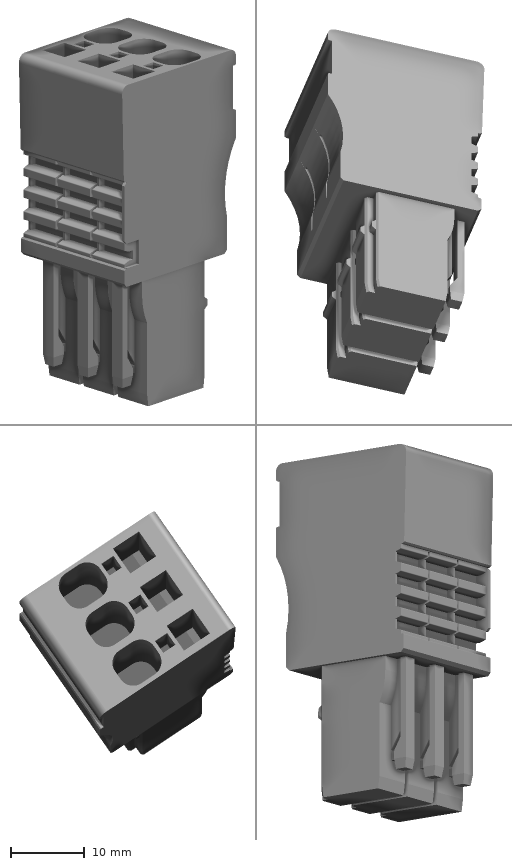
import cadquery as cq
import math

total_width = 19.5
total_depth = 22.35
total_height = 47.3
module_count = 3
pitch = total_width / module_count

body_bottom = 18.3
top_radius = 1.15
bottom_chamfer = 0.45
front_step_z = 33.4
front_step_chamfer = 0.25
front_step_y = 0.35
grip_lip_y = 0.43
grip_lip_z = 20.85
grip_lip_chamfer = 0.15
grip_land_y = 0.9
label_top = 44.95
label_bottom = 38.55
label_depth = 0.6
label_chamfer = 0.2
waist_top = 34.45
waist_z = 26.9
waist_y = 20.15
waist_bottom = 23.6
waist_radius = ((waist_top - waist_z) ** 2 + (total_depth - waist_y) ** 2) / (2 * (total_depth - waist_y))
waist_centre_y = waist_y + waist_radius


def waist_depth(z):
    """Y of the concave back surface at height z."""
    return waist_centre_y - math.sqrt(waist_radius ** 2 - (z - waist_z) ** 2)


base_back_y = waist_depth(waist_bottom)

groove_count = 4
groove_pitch = 3.1
groove_top_centre = 31.75
groove_floor_y = 1.85
groove_floor_height = 1.32
groove_mouth_height = 1.95
groove_radius = 0.15
groove_step_x = 0.4
groove_ramp_length = 0.25
groove_step_depth = 0.75

recess_width = 0.45
recess_bottom = 20.95
recess_top = 32.85
recess_mouth_top = 33.3
plate_front_y = grip_lip_y
plate_chamfer = 0.43
plate_front_bottom = 24.5
plate_set_back_y = 3.3

wire_width = 5.45
wire_length = 6.35
wire_centre_x = 3.3
wire_centre_y = 13.95
wire_back_radius = 2.05
wire_front_radius = 2.18
wire_depth = 14.2
test_size = 2.0
test_centre_x = 3.4
test_centre_y = 9.25
test_depth = 7.1
slot_width = 4.15
slot_centre_x = 3.15
slot_front_y = 3.5
slot_back_y = 7.75
slot_depth = 11.85
slot_ramp_length = 1.1
slot_ramp_drop = 0.25
slot_back_ramp_length = 0.35
slot_back_ramp_rise = 0.1

leg_left_x = 0.65
leg_width = 5.7
leg_front_y = 5.05
leg_neck_y = 4.05
leg_neck_bottom = 16.4
leg_curve_bottom = 11.95
leg_back_y = 16.3
leg_step_width = 1.4
leg_step_depth = 1.15
leg_edge_chamfer = 0.3
leg_taper_height = 1.7
leg_taper = 0.25
bump_z = 12.1
bump_height = 1.8
bump_depth = 0.55
bump_slope = 0.45

arm_left_x = 2.6
arm_width = 2.0
arm_front_y = 2.05
arm_back_y = 3.0
arm_bottom = 4.3
arm_foot_back_y = 4.05
arm_foot_top = 5.4
arm_foot_slope_top = 7.2
web_front_y = 3.6
web_slope_top = 8.15
web_bottom = 5.75
web_width = 0.65
tip_height = 1.4
tip_taper = 8.5


def side_profile(points, left_x, width):
    """Extrude a closed outline of (Y, Z) points from left_x along +X."""
    return cq.Workplane("YZ", origin=(left_x, 0, 0)).polyline(points).close().extrude(width)


def body_block():
    """Module body without grooves or openings."""
    waist_mid_z = (waist_top + waist_z) / 2
    label_y = total_depth - label_depth
    label_lip_y = total_depth - label_chamfer
    outline = (
        cq.Workplane("YZ")
        .moveTo(grip_lip_y + bottom_chamfer, body_bottom)
        .lineTo(grip_lip_y, body_bottom + bottom_chamfer)
        .lineTo(grip_lip_y, grip_lip_z - grip_lip_chamfer)
        .lineTo(grip_lip_y + grip_lip_chamfer, grip_lip_z)
        .lineTo(grip_land_y, grip_lip_z)
        .lineTo(grip_land_y, front_step_z)
        .lineTo(front_step_y + front_step_chamfer, front_step_z)
        .lineTo(front_step_y, front_step_z + front_step_chamfer)
        .lineTo(0, total_height - top_radius)
        .radiusArc((top_radius, total_height), top_radius)
        .lineTo(total_depth - top_radius, total_height)
        .radiusArc((total_depth, total_height - top_radius), top_radius)
        .lineTo(total_depth, label_top + label_chamfer)
        .lineTo(label_lip_y, label_top)
        .lineTo(label_y, label_top)
        .lineTo(label_y, label_bottom)
        .lineTo(label_lip_y, label_bottom)
        .lineTo(total_depth, label_bottom - label_chamfer)
        .lineTo(total_depth, waist_top)
        .threePointArc((waist_depth(waist_mid_z), waist_mid_z), (waist_y, waist_z))
        .threePointArc(
            (waist_depth((waist_z + waist_bottom) / 2), (waist_z + waist_bottom) / 2),
            (base_back_y, waist_bottom),
        )
        .lineTo(base_back_y, body_bottom + bottom_chamfer)
        .lineTo(base_back_y - bottom_chamfer, body_bottom)
        .close()
    )
    return outline.extrude(pitch)


def groove_cut(z):
    """One groove with sloping flanks centred at height z, its floor stepping down to the right."""
    points = [
        (grip_land_y, z + groove_mouth_height / 2),
        (groove_floor_y, z + groove_floor_height / 2),
        (groove_floor_y, z - groove_floor_height / 2),
        (grip_land_y, z - groove_mouth_height / 2),
    ]
    lower_floor_y = groove_floor_y + groove_step_depth
    step = (
        cq.Workplane("XY", origin=(0, 0, z - groove_floor_height / 2))
        .moveTo(groove_step_x, groove_floor_y)
        .lineTo(groove_step_x + groove_ramp_length, lower_floor_y)
        .lineTo(pitch, lower_floor_y)
        .lineTo(pitch, groove_floor_y)
        .close()
        .extrude(groove_floor_height)
    )
    return side_profile(points, 0, pitch).union(step)


def grip_block():
    """Module body with the grip grooves across its front and their land edges rounded."""
    block = body_block()
    for index in range(groove_count):
        block = block.cut(groove_cut(groove_top_centre - index * groove_pitch))
    land_edges = cq.selectors.BoxSelector(
        (0, grip_land_y - groove_radius, grip_lip_z + groove_radius),
        (pitch, grip_land_y + groove_radius, front_step_z - groove_radius),
    )
    return block.edges("|X").edges(land_edges).fillet(groove_radius)


def side_recess():
    """Recess in the +X side of a module, open at the front and the back."""
    points = [
        (0, recess_bottom),
        (0, recess_mouth_top),
        (grip_land_y, recess_mouth_top),
        (groove_floor_y, recess_top),
        (total_depth, recess_top),
        (total_depth, recess_bottom),
    ]
    return side_profile(points, pitch - recess_width, recess_width)


def wire_opening():
    """Rounded funnel hole for the wire."""
    top = cq.Workplane(origin=(wire_centre_x, wire_centre_y, total_height - wire_depth))
    hole = top.rect(wire_width, wire_length).extrude(wire_depth)
    return hole.edges("|Z and >Y").fillet(wire_back_radius).edges("|Z and <Y").fillet(wire_front_radius)


def test_opening():
    """Square hole for a test probe."""
    bottom = cq.Workplane(origin=(test_centre_x, test_centre_y, total_height - test_depth))
    return bottom.rect(test_size, test_size).extrude(test_depth)


def release_slot():
    """Screwdriver slot whose floor falls away along the front and rises a little at the back."""
    floor_z = total_height - slot_depth
    points = [
        (slot_front_y, total_height),
        (slot_front_y, floor_z - slot_ramp_drop),
        (slot_front_y + slot_ramp_length, floor_z),
        (slot_back_y - slot_back_ramp_length, floor_z),
        (slot_back_y, floor_z + slot_back_ramp_rise),
        (slot_back_y, total_height),
    ]
    return side_profile(points, slot_centre_x - slot_width / 2, slot_width)


def leg_section(left_x, width, back_y):
    """One strip of the plug leg with its back at back_y."""
    strip = (
        cq.Workplane("YZ", origin=(left_x, 0, 0))
        .moveTo(back_y, body_bottom)
        .lineTo(leg_neck_y, body_bottom)
        .lineTo(leg_neck_y, leg_neck_bottom)
        .tangentArcPoint((leg_front_y, leg_curve_bottom), relative=False)
        .lineTo(leg_front_y, leg_taper_height)
        .lineTo(leg_front_y + leg_taper, 0)
        .lineTo(back_y - leg_taper, 0)
        .lineTo(back_y, leg_taper_height)
        .close()
        .extrude(width)
    )
    back_edges = cq.selectors.BoxSelector(
        (left_x - leg_edge_chamfer, back_y - leg_taper, 0),
        (left_x + leg_edge_chamfer, back_y + leg_taper, body_bottom),
    )
    return strip.faces("<X").edges(back_edges).chamfer(leg_edge_chamfer)


def leg_bump(left_x, width, back_y):
    """Small snap bump with sloping flanks across the back of a leg strip."""
    points = [
        (back_y - leg_edge_chamfer, bump_z + bump_height / 2),
        (back_y, bump_z + bump_height / 2),
        (back_y + bump_depth, bump_z + bump_height / 2 - bump_slope),
        (back_y + bump_depth, bump_z - bump_height / 2 + bump_slope),
        (back_y, bump_z - bump_height / 2),
        (back_y - leg_edge_chamfer, bump_z - bump_height / 2),
    ]
    return side_profile(points, left_x + leg_edge_chamfer, width - leg_edge_chamfer)


def plug_leg():
    """Leg with its back stepped in on the left, and a bump on each level."""
    right_strip_x = leg_left_x + leg_step_width
    right_strip_width = leg_width - leg_step_width
    set_in_back_y = leg_back_y - leg_step_depth
    return (
        leg_section(leg_left_x, leg_step_width, set_in_back_y)
        .union(leg_section(right_strip_x, right_strip_width, leg_back_y))
        .union(leg_bump(leg_left_x, leg_step_width, set_in_back_y))
        .union(leg_bump(right_strip_x, right_strip_width, leg_back_y))
    )


def latch_arm():
    """Arm in front of the leg, with its web, the narrow link at its foot and its tapered tip."""
    arm_points = [
        (arm_front_y, body_bottom),
        (arm_front_y, arm_bottom),
        (arm_foot_back_y, arm_bottom),
        (arm_foot_back_y, arm_foot_top),
        (arm_back_y, arm_foot_slope_top),
        (arm_back_y, body_bottom),
    ]
    web_points = [
        (web_front_y, body_bottom),
        (web_front_y, web_slope_top),
        (leg_front_y, web_bottom),
        (leg_front_y, body_bottom),
    ]
    link_points = [
        (arm_foot_back_y, arm_bottom),
        (arm_foot_back_y, arm_foot_top),
        (leg_front_y, arm_foot_top),
        (leg_front_y, arm_bottom),
    ]
    arm_centre_x = arm_left_x + arm_width / 2
    web_left_x = arm_centre_x - web_width / 2
    foot_depth = arm_foot_back_y - arm_front_y
    tip = (
        cq.Workplane(origin=(arm_centre_x, arm_front_y + foot_depth / 2, arm_bottom))
        .rect(arm_width, foot_depth)
        .extrude(-tip_height, taper=tip_taper)
    )
    return (
        side_profile(arm_points, arm_left_x, arm_width)
        .union(side_profile(web_points, web_left_x, web_width))
        .union(side_profile(link_points, web_left_x, web_width))
        .union(tip)
    )


def connector_module():
    """One complete module with its left side at X = 0."""
    return (
        grip_block()
        .cut(side_recess())
        .cut(wire_opening())
        .cut(test_opening())
        .cut(release_slot())
        .union(plug_leg())
        .union(latch_arm())
    )


def end_plate():
    """Plate that fills the recess of the last module and guards the upper grip grooves."""
    front = [
        (plate_set_back_y, recess_bottom),
        (plate_set_back_y, plate_front_bottom),
        (plate_front_y + plate_chamfer, plate_front_bottom),
        (plate_front_y, plate_front_bottom + plate_chamfer),
        (plate_front_y, recess_mouth_top - plate_chamfer),
        (plate_front_y + plate_chamfer, recess_mouth_top),
        (grip_land_y, recess_mouth_top),
        (groove_floor_y, recess_top),
    ]
    back = [(total_depth, recess_top), (total_depth, recess_bottom)]
    plate = side_profile(front + back, pitch - recess_width, recess_width)
    front_zone = cq.Workplane().box(pitch, groove_floor_y, total_height, centered=False)
    return plate.intersect(body_block().union(front_zone))


module = connector_module()
modules = []
for index in range(module_count):
    modules.append(module.translate((index * pitch, 0, 0)))
plate = end_plate().translate(((module_count - 1) * pitch, 0, 0))

result = cq.Compound.makeCompound([*[body.val() for body in modules], plate.val()])